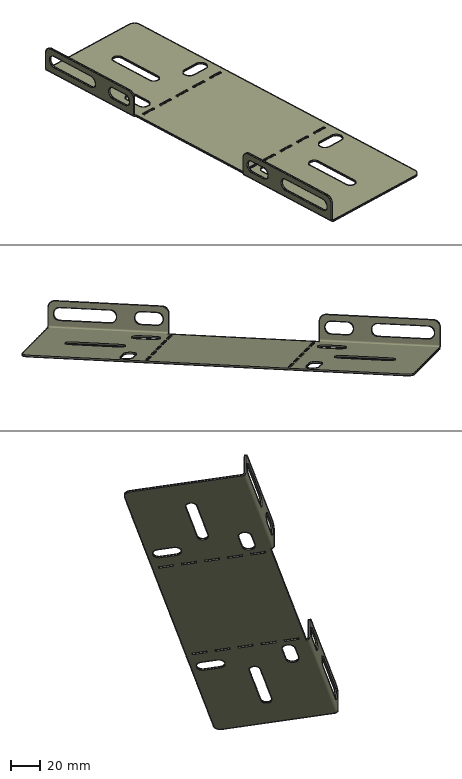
import cadquery as cq

length = 273.0
depth = 86.0
height = 20.0
thickness = 1.25
bend_outer_radius = 2.5
bend_inner_radius = bend_outer_radius - thickness

plate_front = bend_outer_radius
plate_depth = depth - plate_front
plate_middle = plate_front + plate_depth / 2
corner_radius = 5.0

flange_length = 84.0

slot_width = 9.0
short_slot_length = 20.0
long_plate_slot_length = 42.0
long_plate_slot_width = 7.6
long_flange_slot_length = 44.0

long_plate_slot_x = 94.0
short_plate_slot_x = 64.7
short_plate_slot_offset = 27.8
flange_slot_margin = 3.8
flange_slot_z = 11.0

perforation_x = 49.7
perforation_width = 1.5
perforation_length = 10.0
perforation_pitch = 16.0
perforation_count = 5


def base_plate():
    """Flat plate with rounded rear corners."""
    return (
        cq.Workplane("XY")
        .box(length, plate_depth, thickness, centered=(True, False, False))
        .translate((0, plate_front, 0))
        .edges("|Z and >Y")
        .fillet(corner_radius)
    )


def flange(side):
    """Bend and upright wall at one end; side is -1 for left, +1 for right."""
    start_x = length / 2 - flange_length if side > 0 else -length / 2
    body = (
        cq.Workplane("YZ", origin=(start_x, 0, 0))
        .moveTo(plate_front, 0)
        .radiusArc((0, bend_outer_radius), bend_outer_radius)
        .lineTo(0, height)
        .lineTo(thickness, height)
        .lineTo(thickness, bend_outer_radius)
        .radiusArc((plate_front, thickness), -bend_inner_radius)
        .close()
        .extrude(flange_length)
    )
    return body.edges("|Y and >Z").fillet(corner_radius)


def plate_slot(x, y, slot_length, width, angle=0):
    """Cutter for a round-ended slot through the plate."""
    return cq.Workplane("XY").center(x, y).slot2D(slot_length, width, angle).extrude(thickness)


def flange_slot(x, slot_length):
    """Cutter for a round-ended slot through a flange."""
    return (
        cq.Workplane("XZ")
        .center(x, flange_slot_z)
        .slot2D(slot_length, slot_width)
        .extrude(-thickness)
    )


def perforations(x):
    """Cutter for one row of narrow rectangular perforations."""
    return (
        cq.Workplane("XY")
        .center(x, plate_middle)
        .rarray(2.7, perforation_pitch, 1, perforation_count)
        .rect(perforation_width, perforation_length)
        .extrude(thickness)
    )


result = base_plate()
for side in (-1, 1):
    result = result.union(flange(side))

rear_slot_y = plate_middle + short_plate_slot_offset
front_slot_y = plate_middle - short_plate_slot_offset
outer_slot_x = length / 2 - flange_slot_margin - long_flange_slot_length / 2
inner_slot_x = length / 2 - flange_length + flange_slot_margin + short_slot_length / 2

for side in (-1, 1):
    short_x = side * short_plate_slot_x
    long_x = side * long_plate_slot_x
    result = (
        result
        .cut(plate_slot(long_x, plate_middle, long_plate_slot_length, long_plate_slot_width))
        .cut(plate_slot(short_x, rear_slot_y, short_slot_length, slot_width, angle=90))
        .cut(plate_slot(short_x, front_slot_y, short_slot_length, slot_width))
        .cut(perforations(side * perforation_x))
        .cut(flange_slot(side * outer_slot_x, long_flange_slot_length))
        .cut(flange_slot(side * inner_slot_x, short_slot_length))
    )